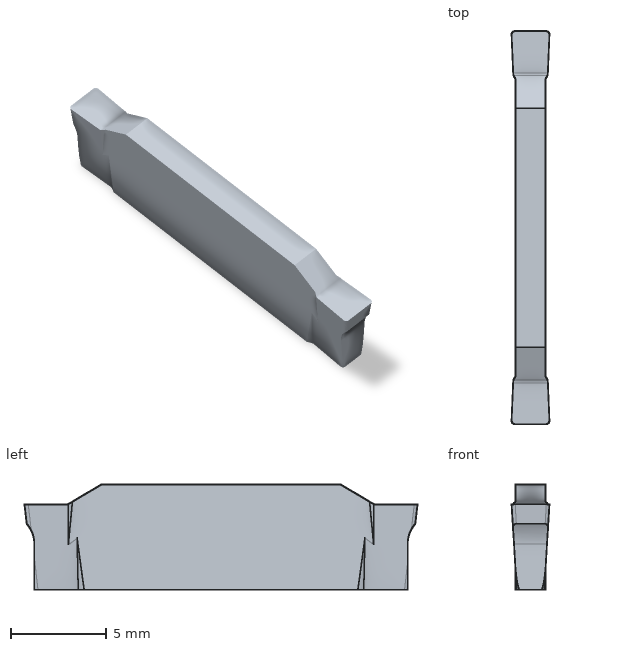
import cadquery as cq
import math

LENGTH = 20.65
HEIGHT = 5.53
HEAD_WIDTH = 2.0
BODY_WIDTH = 1.6
HEAD_TOP = 4.48

RAMP_START = 2.19
RAMP_BLEND_END = 2.33
RAMP_BLEND_RISE = 0.05
RAMP_END = 4.05

SIDE_TAPER_INWARD_ANGLE = 2.4
SIDE_TAPER_DOWN_ANGLE = 3.2
TIP_LEAN_ANGLE = 6.5
SIDE_TAPER_INWARD = math.tan(math.radians(SIDE_TAPER_INWARD_ANGLE))
SIDE_TAPER_DOWN = math.tan(math.radians(SIDE_TAPER_DOWN_ANGLE))
TIP_LEAN = math.tan(math.radians(TIP_LEAN_ANGLE))
CORNER_RADIUS = 0.19
HEAD_LENGTH = 2.31

UNDERCUT_TOP = 3.47
UNDERCUT_BOTTOM = 2.42
END_FACE_INSET = 0.52

SHOULDER_RUN_PER_DEPTH = 1.67
RECESS_TOP_INSET = 2.77
RECESS_BOTTOM_INSET = 2.83
RECESS_FLARE_INSET = 3.14

HALF_BODY = BODY_WIDTH / 2


def y_at(inset):
    """Y position a given distance in from the -Y end."""
    return inset - LENGTH / 2


def side_x(inset, z):
    """Half width of the tapered head; it is widest at the end of the corner round."""
    return HEAD_WIDTH / 2 - SIDE_TAPER_INWARD * (inset - CORNER_RADIUS) - SIDE_TAPER_DOWN * (HEAD_TOP - z)


def level_on_body_side(inset):
    """Height at which the tapered head side meets the flat body side."""
    return HEAD_TOP - (side_x(inset, HEAD_TOP) - HALF_BODY) / SIDE_TAPER_DOWN


def mirror_ends(shape):
    return shape.union(shape.mirror("XZ"))


def mirror_sides(shape):
    return shape.union(shape.mirror("YZ"))


def polyhedron(faces):
    shells = [cq.Face.makeFromWires(cq.Wire.makePolygon(points, close=True)) for points in faces]
    return cq.Workplane(cq.Solid.makeSolid(cq.Shell.makeShell(shells)))


def side_profile():
    """Side outline of the whole part, extruded across the head width."""
    undercut_inset = TIP_LEAN * (HEAD_TOP - UNDERCUT_TOP)
    depth = END_FACE_INSET - undercut_inset
    drop = UNDERCUT_TOP - UNDERCUT_BOTTOM
    radius = (depth**2 + drop**2) / (2 * depth)
    half_angle = math.asin(drop / radius) / 2
    arc_middle = (
        y_at(END_FACE_INSET - radius * (1 - math.cos(half_angle))),
        UNDERCUT_BOTTOM + radius * math.sin(half_angle),
    )
    half = (
        cq.Workplane("YZ")
        .moveTo(0, 0)
        .lineTo(y_at(END_FACE_INSET), 0)
        .lineTo(y_at(END_FACE_INSET), UNDERCUT_BOTTOM)
        .threePointArc(arc_middle, (y_at(undercut_inset), UNDERCUT_TOP))
        .lineTo(y_at(0), HEAD_TOP)
        .lineTo(y_at(RAMP_START), HEAD_TOP)
        .tangentArcPoint((y_at(RAMP_BLEND_END), HEAD_TOP + RAMP_BLEND_RISE), relative=False)
        .lineTo(y_at(RAMP_END), HEIGHT)
        .lineTo(0, HEIGHT)
        .close()
        .extrude(HEAD_WIDTH, both=True)
    )
    return mirror_ends(half)


def head():
    """Tapered block with rounded vertical tip corners."""

    def outline(z):
        tip = TIP_LEAN * (HEAD_TOP - z)
        front = side_x(tip, z)
        rear = side_x(HEAD_LENGTH, z)
        corners = [(-front, tip), (front, tip), (rear, HEAD_LENGTH), (-rear, HEAD_LENGTH)]
        return cq.Wire.makePolygon([cq.Vector(x, y_at(inset), z) for x, inset in corners], close=True)

    block = cq.Workplane(cq.Solid.makeLoft([outline(0), outline(HEIGHT)], True))
    return block.faces("<Y").edges("not |X").fillet(CORNER_RADIUS)


def shoulder():
    """Sloped wedge leading from the wider upper head down to the body side."""
    outer = side_x(HEAD_LENGTH, HEIGHT)
    run = SHOULDER_RUN_PER_DEPTH * (outer - HALF_BODY)
    rear_y = y_at(HEAD_LENGTH)
    a = cq.Vector(outer, rear_y, HEIGHT)
    b = cq.Vector(HALF_BODY, rear_y + run, HEIGHT)
    c = cq.Vector(HALF_BODY, rear_y, HEIGHT)
    d = cq.Vector(HALF_BODY, rear_y, level_on_body_side(HEAD_LENGTH))
    return mirror_sides(polyhedron([[a, b, c], [a, b, d], [b, c, d], [a, c, d]]))


def recess():
    """Cut that continues the head side into the lower body, closed by a flared wall."""

    def on_body(inset, z):
        return cq.Vector(HALF_BODY, y_at(inset), z)

    def on_head_side(inset):
        return cq.Vector(side_x(inset, 0), y_at(inset), 0)

    front_top = on_body(HEAD_LENGTH, level_on_body_side(HEAD_LENGTH))
    rear_top = on_body(RECESS_TOP_INSET, level_on_body_side(RECESS_TOP_INSET))
    front_outer = on_body(HEAD_LENGTH, 0)
    rear_outer = on_body(RECESS_FLARE_INSET, 0)
    front_inner = on_head_side(HEAD_LENGTH)
    rear_inner = on_head_side(RECESS_BOTTOM_INSET)
    faces = [
        [front_top, rear_top, rear_outer, front_outer],
        [front_top, rear_top, rear_inner, front_inner],
        [rear_top, rear_outer, rear_inner],
        [front_top, front_outer, front_inner],
        [front_outer, rear_outer, rear_inner, front_inner],
    ]
    return mirror_sides(polyhedron(faces))


body_length = LENGTH - 2 * HEAD_LENGTH
body = cq.Workplane("XY").box(BODY_WIDTH, body_length, HEIGHT, centered=(True, True, False))
body = body.cut(mirror_ends(recess()))
heads = mirror_ends(head().union(shoulder()))
result = body.union(heads).intersect(side_profile())